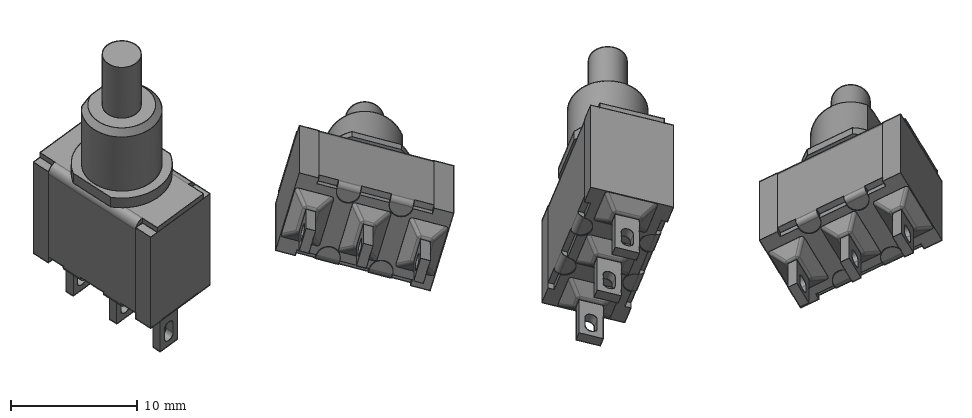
import cadquery as cq

case_length = 12.7
case_width = 6.9
case_bottom = 5.02
case_shoulder = 14.9

sheet = 0.5
frame_length = 9.47
frame_skirt_bottom = 5.67
outer_bend_radius = 0.77
inner_bend_radius = outer_bend_radius - sheet
frame_top = case_shoulder + sheet
roof_width = case_width - 2 * outer_bend_radius
core_width = case_width - 2 * sheet

tab_width = 1.9
tab_spacing = 4.35
tab_bottom = 5.13
tab_top = tab_bottom + sheet
tab_bend_radius = 0.45
tab_end_radius = tab_width / 2

flange_diameter = 8.0
flange_height = 1.05
bushing_diameter = 6.38
bushing_top = 22.85
bushing_chamfer = 0.5
bushing_flat_offset = 2.55

plunger_diameter = 3.1
plunger_top = 28.35

terminal_spacing = 4.7
terminal_thickness = 0.8
terminal_width = 2.0
terminal_height = 4.0
eyelet_width = 1.0
eyelet_length = 2.0
eyelet_height = 1.55
standoff_length = 3.17
standoff_width = 4.36
standoff_taper = 45
standoff_rounding = 0.37

terminal_places = [-terminal_spacing, 0, terminal_spacing]
tab_places = [-tab_spacing / 2, tab_spacing / 2]


def block(length, width, bottom, top):
    """Box centred on the Z axis between two heights."""
    return cq.Workplane("XY").workplane(offset=bottom).rect(length, width).extrude(top - bottom)


def tab(x, side, bottom, top):
    """Tongue with a half-round inner end that starts at the case side given by `side` (-1 or 1)."""
    tongue = (
        cq.Workplane("XY")
        .workplane(offset=bottom)
        .moveTo(-tab_width / 2, -case_width / 2)
        .lineTo(-tab_width / 2, -core_width / 2)
        .threePointArc((0, tab_end_radius - core_width / 2), (tab_width / 2, -core_width / 2))
        .lineTo(tab_width / 2, -case_width / 2)
        .close()
        .extrude(top - bottom)
    )
    if side > 0:
        tongue = tongue.mirror("XZ")
    return tongue.translate((x, 0, 0))


def make_standoff(x):
    """Tapered pedestal under the case, with rounded corners and a rounded tip."""
    pedestal = (
        cq.Workplane("XY")
        .workplane(offset=case_bottom)
        .rect(standoff_length, standoff_width)
        .extrude(terminal_height - case_bottom, taper=standoff_taper)
        .edges("not >Z")
        .fillet(standoff_rounding)
    )
    return pedestal.translate((x, 0, 0))


def make_case():
    core = block(frame_length, core_width, case_bottom, case_shoulder)
    body = core.edges("|X and >Z").fillet(inner_bend_radius)
    end_length = (case_length - frame_length) / 2
    end_block = block(end_length, case_width, case_bottom, case_shoulder)
    for side in (-1, 1):
        body = body.union(end_block.translate((side * (case_length - end_length) / 2, 0, 0)))

    for x in terminal_places:
        body = body.union(make_standoff(x))

    for x in tab_places:
        for side in (-1, 1):
            body = body.cut(tab(x, side, case_bottom, tab_top))
    return body


def make_frame():
    outside = block(frame_length, case_width, frame_skirt_bottom, frame_top)
    outside = outside.edges("|X and >Z").fillet(outer_bend_radius)
    inside = block(frame_length, core_width, frame_skirt_bottom, case_shoulder)
    inside = inside.edges("|X and >Z").fillet(inner_bend_radius)
    frame = outside.cut(inside)

    frame = frame.union(block(case_length, roof_width, case_shoulder, frame_top))

    strip = block(tab_width, sheet, tab_top, frame_skirt_bottom)
    for x in tab_places:
        for side in (-1, 1):
            outer_edge = "<Z and >Y" if side > 0 else "<Z and <Y"
            tongue = tab(x, side, tab_bottom, tab_top)
            joined = tongue.union(strip.translate((x, side * (case_width - sheet) / 2, 0)))
            frame = frame.union(joined.edges(outer_edge).fillet(tab_bend_radius))
    return frame


def make_bushing():
    flange_top = frame_top + flange_height
    flange = cq.Workplane("XY").workplane(offset=frame_top).circle(flange_diameter / 2).extrude(flange_height)
    flange = flange.intersect(block(flange_diameter, case_width, frame_top, flange_top))

    barrel = cq.Workplane("XY").workplane(offset=flange_top).circle(bushing_diameter / 2)
    barrel = barrel.extrude(bushing_top - flange_top).faces(">Z").chamfer(bushing_chamfer)
    keep = block(bushing_diameter, bushing_diameter, flange_top, bushing_top)
    keep = keep.translate((bushing_diameter / 2 - bushing_flat_offset, 0, 0))
    return flange.union(barrel.intersect(keep))


def make_plunger():
    base = cq.Workplane("XY").workplane(offset=bushing_top)
    return base.circle(plunger_diameter / 2).extrude(plunger_top - bushing_top)


def make_terminal(x):
    """Flat solder lug with an obround eyelet through its thickness."""
    blade = block(terminal_thickness, terminal_width, 0, terminal_height)
    eyelet = (
        cq.Workplane("YZ")
        .center(0, eyelet_height)
        .slot2D(eyelet_length, eyelet_width, 90)
        .extrude(terminal_thickness, both=True)
    )
    return blade.cut(eyelet).translate((x, 0, 0))


case = make_case()
frame = make_frame()
bushing = make_bushing()
plunger = make_plunger()
terminals = [make_terminal(x) for x in terminal_places]

result = cq.Compound.makeCompound(
    [case.val(), frame.val(), bushing.val(), plunger.val(), *[terminal.val() for terminal in terminals]]
)